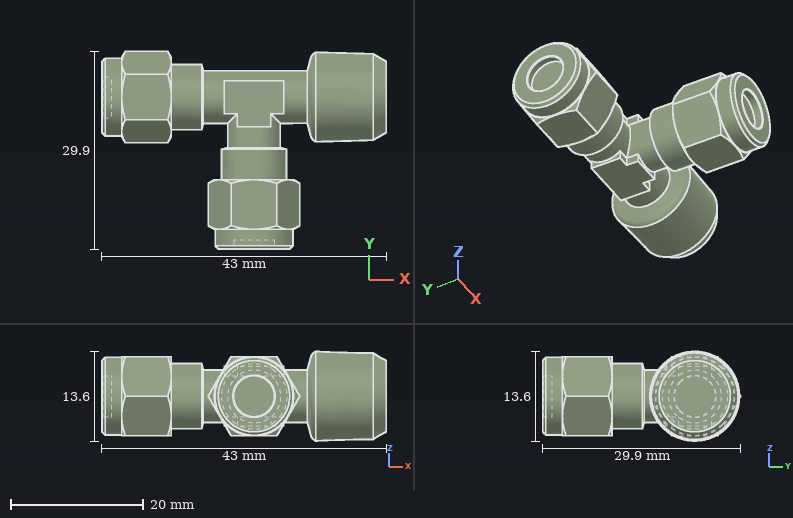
import cadquery as cq
import math

port_reach = 23.0
cap_reach = 20.0
tube_radius = 4.0
shoulder_angle = math.radians(15)

collar_radius = 5.9
collar_length = 3.0
collar_chamfer = 0.5
hex_across_flats = 12.0
hex_length = 7.5
hex_chamfer_angle = math.radians(30)
body_radius = 4.95
body_inner_end = 7.65
bore_radius = 3.1
bore_depth = 1.4
bore_chamfer = 0.1

cap_inner_end = 8.05
cap_face_radius = 5.85
cap_max_radius = 6.79
cap_rim_radius = 6.55
cap_chamfer_length = 2.0
cap_chamfer_angle = math.radians(30)
cap_side_start = 9.35

block_half_length = 4.5
block_half_width = 2.5
block_stem_reach = 4.5
block_half_height = 4.5


def revolve_about_x(profile):
    """Spin a closed outline, drawn as (x, radius), a full turn about the X axis."""
    return profile.close().revolve(360, (0, 0, 0), (1, 0, 0))


def make_hex():
    """Hexagon along +X with both ends chamfered down to the across-flats circle."""
    flat_radius = hex_across_flats / 2
    corner_radius = flat_radius / math.cos(math.pi / 6)
    chamfer_length = (corner_radius - flat_radius) * math.tan(hex_chamfer_angle)
    outer_end = port_reach - collar_length
    inner_end = outer_end - hex_length
    prism = (
        cq.Workplane("YZ", origin=(inner_end, 0, 0))
        .polygon(6, 2 * corner_radius)
        .extrude(hex_length)
    )
    envelope = revolve_about_x(
        cq.Workplane("XY")
        .moveTo(inner_end, 0)
        .lineTo(inner_end, flat_radius)
        .lineTo(inner_end + chamfer_length, corner_radius)
        .lineTo(outer_end - chamfer_length, corner_radius)
        .lineTo(outer_end, flat_radius)
        .lineTo(outer_end, 0)
    )
    return prism.intersect(envelope)


def make_port():
    """Tube, body and compression nut along +X, with a blind bore in the outer face."""
    shoulder_length = (body_radius - tube_radius) * math.tan(shoulder_angle)
    hex_middle = port_reach - collar_length - hex_length / 2
    turned = revolve_about_x(
        cq.Workplane("XY")
        .lineTo(0, tube_radius)
        .lineTo(body_inner_end, tube_radius)
        .lineTo(body_inner_end + shoulder_length, body_radius)
        .lineTo(hex_middle, body_radius)
        .lineTo(hex_middle, collar_radius)
        .lineTo(port_reach - collar_chamfer, collar_radius)
        .lineTo(port_reach, collar_radius - collar_chamfer)
        .lineTo(port_reach, 0)
    )
    bore = revolve_about_x(
        cq.Workplane("XY")
        .moveTo(port_reach - bore_depth, 0)
        .lineTo(port_reach - bore_depth, bore_radius)
        .lineTo(port_reach - bore_chamfer, bore_radius)
        .lineTo(port_reach, bore_radius + bore_chamfer)
        .lineTo(port_reach, 0)
    )
    return turned.union(make_hex()).cut(bore)


def make_capped_arm():
    """Tube along +X ending in a solid cap with a rounded shoulder and a tapered side."""
    face_end = cap_inner_end + (cap_face_radius - tube_radius) * math.tan(shoulder_angle)
    chamfer_start = cap_reach - cap_chamfer_length
    end_radius = cap_rim_radius - cap_chamfer_length * math.tan(cap_chamfer_angle)
    return revolve_about_x(
        cq.Workplane("XY")
        .lineTo(0, tube_radius)
        .lineTo(cap_inner_end, tube_radius)
        .lineTo(face_end, cap_face_radius)
        .tangentArcPoint((cap_side_start, cap_max_radius), relative=False)
        .lineTo(chamfer_start, cap_rim_radius)
        .lineTo(cap_reach, end_radius)
        .lineTo(cap_reach, 0)
    )


def make_block():
    """T-shaped block standing out above and below the tubes, its stem toward -Y."""
    bar = cq.Workplane("XY").box(2 * block_half_length, 2 * block_half_width, 2 * block_half_height)
    stem = (
        cq.Workplane("XY")
        .box(2 * block_half_width, block_stem_reach, 2 * block_half_height)
        .translate((0, -block_stem_reach / 2, 0))
    )
    return bar.union(stem)


port = make_port()
run_port = port.rotate((0, 0, 0), (0, 0, 1), 180)
branch_port = port.rotate((0, 0, 0), (0, 0, 1), -90)

result = make_capped_arm().union(run_port).union(branch_port).union(make_block())